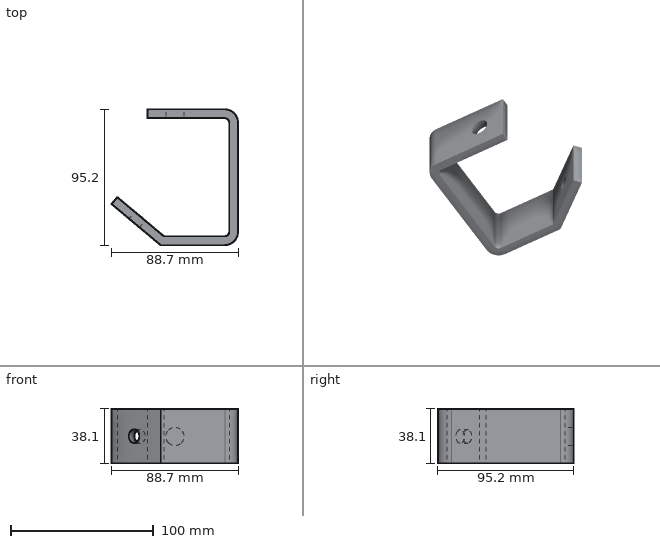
import cadquery as cq
import math

overall_x = 88.66
overall_y = 95.25
strap_width = 38.1
thickness = 6.35
outer_bend_radius = 9.525
inner_bend_radius = outer_bend_radius - thickness

straight_flange_length = 63.5
straight_hole_diameter = 12.7
straight_hole_from_end = 19.05

bend_angle = math.radians(40)
angled_flange_length = 44.9
angled_hole_diameter = 9.525
angled_hole_from_end = 20.6

along = (-math.cos(bend_angle), math.sin(bend_angle))
inward = (math.sin(bend_angle), math.cos(bend_angle))

bend_x = angled_flange_length * math.cos(bend_angle) - overall_x
inner_bend_x = bend_x + thickness * math.tan(bend_angle / 2)
tip_outer = (bend_x + angled_flange_length * along[0], angled_flange_length * along[1])
tip_inner = (tip_outer[0] + thickness * inward[0], tip_outer[1] + thickness * inward[1])


def make_strap():
    """Extrude the strap profile with sharp corners."""
    profile = [
        (-straight_flange_length, overall_y),
        (0, overall_y),
        (0, 0),
        (bend_x, 0),
        tip_outer,
        tip_inner,
        (inner_bend_x, thickness),
        (-thickness, thickness),
        (-thickness, overall_y - thickness),
        (-straight_flange_length, overall_y - thickness),
    ]
    return cq.Workplane("XY").polyline(profile).close().extrude(strap_width)


def round_corners(strap, x, y_positions, radius):
    """Fillet the vertical edges at the given x and y positions."""
    for y in y_positions:
        edge = cq.selectors.NearestToPointSelector((x, y, strap_width / 2))
        strap = strap.edges("|Z").edges(edge).fillet(radius)
    return strap


def hole_cutter(x, y, direction, diameter):
    """Cylinder through one flange, centred at mid width on the point (x, y) of its outer face."""
    axis = cq.Vector(direction[0], direction[1], 0)
    reach = 2 * thickness
    start = cq.Vector(x, y, strap_width / 2) - axis * reach
    return cq.Workplane(cq.Solid.makeCylinder(diameter / 2, 2 * reach, start, axis))


strap = make_strap()
strap = round_corners(strap, 0, (0, overall_y), outer_bend_radius)
strap = round_corners(strap, -thickness, (thickness, overall_y - thickness), inner_bend_radius)

straight_hole = hole_cutter(
    straight_hole_from_end - straight_flange_length, overall_y, (0, 1), straight_hole_diameter
)
angled_hole = hole_cutter(
    tip_outer[0] - angled_hole_from_end * along[0],
    tip_outer[1] - angled_hole_from_end * along[1],
    inward,
    angled_hole_diameter,
)

result = strap.cut(straight_hole).cut(angled_hole)